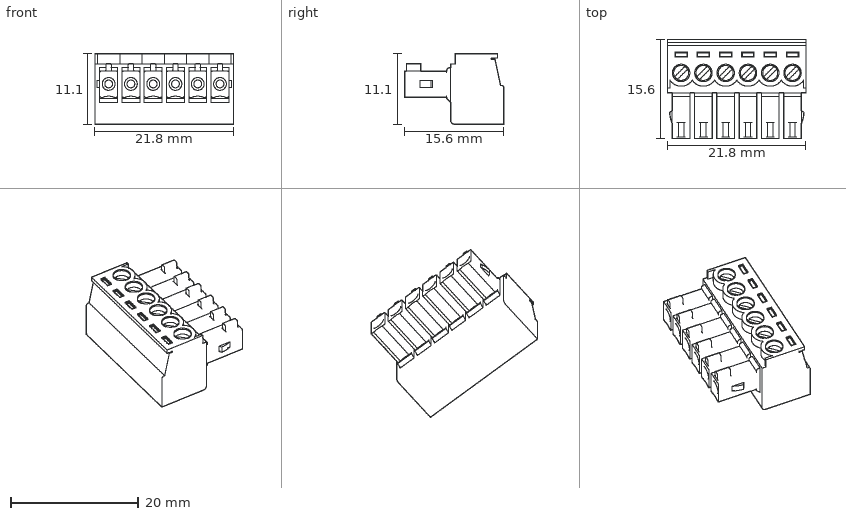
import cadquery as cq
import math


POLES = 6
ROW_SPAN = 17.5
PITCH = ROW_SPAN / (POLES - 1)
POLE_X = [i * PITCH - ROW_SPAN / 2 for i in range(POLES)]

LENGTH = 21.8
HEIGHT = 11.1
DEPTH = 8.4
FRONT_EDGE_R = 0.63
FRONT_TOP_Z = 9.48
END_WALL_Y = 0.72
BACK_STEP_Z = 6.13
BACK_EDGE_R = 0.4
SLOPE_BOTTOM_Y = 7.87
SLOPE_TOP_Y = 7.0
LIP_Y = 7.41
LIP_BOTTOM_Z = 10.42
GROOVE_Z = 10.25
GROOVE_Y = 6.43

SCREW_Y = 3.12
WELL_WALL_R = 2.1
RIM_R = 1.37
RIM_DEPTH = 0.25
WELL_R = 1.18
SCREW_DEPTH = 1.05
SLOT_WIDTH = 0.6
SLOT_DEPTH = 0.52
SLOT_ANGLE = 45.0

WINDOW_LENGTH = 1.96
WINDOW_FRONT_Y = 5.65
WINDOW_BACK_Y = 6.4
WINDOW_DEPTH = 0.22
WINDOW_SIDE_INSET = 0.09
WINDOW_BACK_INSET = 0.13
WINDOW_FRONT_INSET = 0.07
WINDOW_FLOOR_ANGLE = 22.0

PLUG_WIDTH = 2.81
PLUG_LENGTH = 7.22
PLUG_BOTTOM_Z = 4.25
PLUG_TOP_Z = 8.35
PLUG_EDGE_R = 0.2
HOLLOW_WIDTH = 1.75
HOLLOW_RISE = 0.17

COLLAR_LENGTH = 0.6
COLLAR_TOP_Z = 8.9
COLLAR_EDGE_R = 0.4
COLLAR_BOTTOM_Z = 3.42
COLLAR_FACE_BOTTOM_Z = 4.05

SOCKET_Z = 6.35
SOCKET_MOUTH_R = 1.22
SOCKET_R = 1.0
SOCKET_FLOOR_R = 0.6
SOCKET_DEPTH = 1.1

KEY_WIDTH = 0.85
KEY_TOP_Z = 9.55
KEY_BACK_Y = -4.67
KEY_FRONT_Y = -6.93
KEY_TOP_R = 0.22
KEY_FOOT_R = 0.185

BUMP_HEIGHT = 1.05
BUMP_REACH = 0.41
BUMP_BACK_Y = -2.81
BUMP_PEAK_Y = -3.07
BUMP_MID_Y = -3.92
BUMP_MID_REACH = 0.3
BUMP_FRONT_Y = -4.85


def make_housing():
    profile = (
        cq.Workplane("YZ")
        .moveTo(FRONT_EDGE_R, 0)
        .lineTo(DEPTH, 0)
        .lineTo(DEPTH, BACK_STEP_Z - BACK_EDGE_R)
        .radiusArc((DEPTH - BACK_EDGE_R, BACK_STEP_Z), -BACK_EDGE_R)
        .lineTo(SLOPE_BOTTOM_Y, BACK_STEP_Z)
        .lineTo(SLOPE_TOP_Y, GROOVE_Z)
        .lineTo(GROOVE_Y, GROOVE_Z)
        .lineTo(GROOVE_Y, LIP_BOTTOM_Z)
        .lineTo(LIP_Y, LIP_BOTTOM_Z)
        .lineTo(LIP_Y, HEIGHT)
        .lineTo(END_WALL_Y, HEIGHT)
        .lineTo(END_WALL_Y, FRONT_TOP_Z)
        .lineTo(0, FRONT_TOP_Z)
        .lineTo(0, FRONT_EDGE_R)
        .radiusArc((FRONT_EDGE_R, 0), -FRONT_EDGE_R)
        .close()
    )
    return profile.extrude(LENGTH / 2, both=True)


def make_front_recess():
    """Space above the front ledge, between the end walls and around the screw wells."""
    recess_height = HEIGHT - FRONT_TOP_Z
    recess = (
        cq.Workplane("XY", origin=(0, 0, FRONT_TOP_Z))
        .center(0, SCREW_Y / 2)
        .rect(POLES * PITCH, SCREW_Y)
        .extrude(recess_height)
    )
    for x in POLE_X:
        wall = (
            cq.Workplane("XY", origin=(x, SCREW_Y, FRONT_TOP_Z))
            .circle(WELL_WALL_R)
            .extrude(recess_height)
        )
        recess = recess.cut(wall)
    return recess


def make_screw_well(x):
    """Stepped round well whose floor is the slotted screw head."""
    lip_r = RIM_R - WELL_R
    well = (
        cq.Workplane("XZ", origin=(x, SCREW_Y, HEIGHT))
        .lineTo(RIM_R, 0)
        .lineTo(RIM_R, -RIM_DEPTH)
        .radiusArc((WELL_R, -RIM_DEPTH - lip_r), -lip_r)
        .lineTo(WELL_R, -SCREW_DEPTH)
        .lineTo(0, -SCREW_DEPTH)
        .close()
        .revolve(360, (0, 0, 0), (0, 1, 0))
    )
    screw_top = cq.Workplane("XY", origin=(x, SCREW_Y, HEIGHT - SCREW_DEPTH))
    slot = (
        screw_top.transformed(rotate=(0, 0, SLOT_ANGLE))
        .rect(2 * WELL_R, SLOT_WIDTH)
        .extrude(-SLOT_DEPTH)
        .intersect(screw_top.circle(WELL_R).extrude(-SLOT_DEPTH))
    )
    return well.union(slot)


def make_window(x):
    """Shallow rectangular recess with a narrower pocket whose floor falls toward the front."""
    ledge_z = HEIGHT - WINDOW_DEPTH
    pocket_back_y = WINDOW_BACK_Y - WINDOW_BACK_INSET
    pocket_front_y = WINDOW_FRONT_Y + WINDOW_FRONT_INSET
    floor_drop = (pocket_back_y - pocket_front_y) * math.tan(math.radians(WINDOW_FLOOR_ANGLE))
    recess = (
        cq.Workplane("XY", origin=(x, WINDOW_FRONT_Y, ledge_z))
        .box(
            WINDOW_LENGTH,
            WINDOW_BACK_Y - WINDOW_FRONT_Y,
            WINDOW_DEPTH,
            centered=(True, False, False),
        )
    )
    pocket = (
        cq.Workplane("YZ", origin=(x, 0, 0))
        .moveTo(pocket_front_y, ledge_z)
        .lineTo(pocket_back_y, ledge_z)
        .lineTo(pocket_front_y, ledge_z - floor_drop)
        .close()
        .extrude(WINDOW_LENGTH / 2 - WINDOW_SIDE_INSET, both=True)
    )
    return recess.union(pocket)


def make_collar():
    return (
        cq.Workplane("YZ")
        .moveTo(0, COLLAR_BOTTOM_Z)
        .lineTo(-COLLAR_LENGTH, COLLAR_FACE_BOTTOM_Z)
        .lineTo(-COLLAR_LENGTH, COLLAR_TOP_Z - COLLAR_EDGE_R)
        .radiusArc((-COLLAR_LENGTH + COLLAR_EDGE_R, COLLAR_TOP_Z), COLLAR_EDGE_R)
        .lineTo(0, COLLAR_TOP_Z)
        .close()
        .extrude(PLUG_WIDTH / 2, both=True)
    )


def make_key():
    """Coding key with rounded top edges and concave feet blending into the plug."""
    half = KEY_WIDTH / 2
    foot_z = PLUG_TOP_Z + KEY_FOOT_R
    shoulder_z = KEY_TOP_Z - KEY_TOP_R
    return (
        cq.Workplane("XZ", origin=(0, KEY_BACK_Y, 0))
        .moveTo(-half - KEY_FOOT_R, PLUG_TOP_Z)
        .radiusArc((-half, foot_z), -KEY_FOOT_R)
        .lineTo(-half, shoulder_z)
        .radiusArc((-half + KEY_TOP_R, KEY_TOP_Z), KEY_TOP_R)
        .lineTo(half - KEY_TOP_R, KEY_TOP_Z)
        .radiusArc((half, shoulder_z), KEY_TOP_R)
        .lineTo(half, foot_z)
        .radiusArc((half + KEY_FOOT_R, PLUG_TOP_Z), -KEY_FOOT_R)
        .close()
        .extrude(KEY_BACK_Y - KEY_FRONT_Y)
    )


def make_socket():
    """Round contact opening: rounded mouth, straight bore and conical end."""
    mouth_r = SOCKET_MOUTH_R - SOCKET_R
    cone_depth = SOCKET_R - SOCKET_FLOOR_R
    return (
        cq.Workplane("XY", origin=(0, -PLUG_LENGTH, SOCKET_Z))
        .lineTo(SOCKET_MOUTH_R, 0)
        .radiusArc((SOCKET_R, mouth_r), mouth_r)
        .lineTo(SOCKET_R, SOCKET_DEPTH)
        .lineTo(SOCKET_FLOOR_R, SOCKET_DEPTH + cone_depth)
        .lineTo(0, SOCKET_DEPTH + cone_depth)
        .close()
        .revolve(360, (0, 0, 0), (0, 1, 0))
    )


def make_plug():
    plug_height = PLUG_TOP_Z - PLUG_BOTTOM_Z
    bar = (
        cq.Workplane("XZ")
        .center(0, PLUG_BOTTOM_Z + plug_height / 2)
        .rect(PLUG_WIDTH, plug_height)
        .extrude(PLUG_LENGTH)
        .edges("|Y")
        .fillet(PLUG_EDGE_R)
    )
    hollow = (
        cq.Workplane("XZ")
        .moveTo(-HOLLOW_WIDTH / 2, PLUG_BOTTOM_Z)
        .threePointArc((0, PLUG_BOTTOM_Z + HOLLOW_RISE), (HOLLOW_WIDTH / 2, PLUG_BOTTOM_Z))
        .close()
        .extrude(PLUG_LENGTH)
    )
    return bar.cut(hollow).union(make_collar()).union(make_key()).cut(make_socket())


def make_bump():
    """Snap bump on the +X side of the last plug."""
    side_x = POLE_X[-1] + PLUG_WIDTH / 2
    return (
        cq.Workplane("XY", origin=(0, 0, SOCKET_Z - BUMP_HEIGHT / 2))
        .moveTo(side_x, BUMP_BACK_Y)
        .lineTo(side_x + BUMP_REACH, BUMP_PEAK_Y)
        .threePointArc((side_x + BUMP_MID_REACH, BUMP_MID_Y), (side_x, BUMP_FRONT_Y))
        .lineTo(POLE_X[-1] + SOCKET_MOUTH_R, BUMP_FRONT_Y)
        .lineTo(POLE_X[-1] + SOCKET_MOUTH_R, BUMP_BACK_Y)
        .close()
        .extrude(BUMP_HEIGHT)
    )


result = make_housing().cut(make_front_recess())
plug = make_plug()
for pole_x in POLE_X:
    result = result.cut(make_screw_well(pole_x)).cut(make_window(pole_x))
    result = result.union(plug.translate((pole_x, 0, 0)))

bump = make_bump()
result = result.union(bump).union(bump.mirror("YZ"))